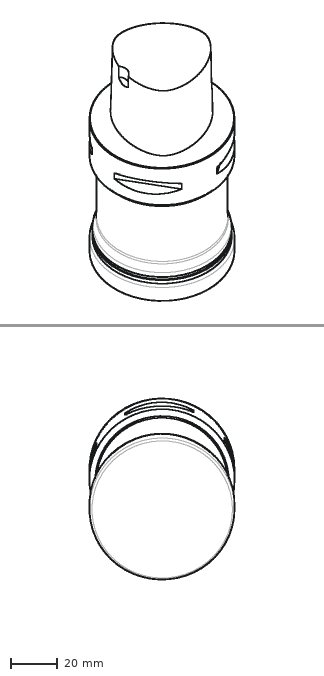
import cadquery as cq
import math

total_height = 118.0
flange_radius = 63.0 / 2
neck_radius = 57.0 / 2
collar_radius = 60.7 / 2

nut_top = 12.3
nut_rim_top = 9.9
collar_top = 13.9
flare_bottom = 16.3
flare_top = 21.6
flange_underside = 58.0
flange_top = 80.0

groove_depth = 0.2
groove_wall_height = 0.4
flare_start_radius = 28.7
flare_end_radius = 30.0
flare_start_drop = 1.3
undercut_slope_height = 2.5
undercut_radius = 29.0
undercut_blend_drop = 3.7
flange_chamfer = 0.4
nut_edge_radius = 1.1

shank_base_radius = 22.2
shank_top_radius = 21.4
lobe_height = 1.4
outline_points = 36

pocket_radius = 4.7
pocket_center_y = -22.5
pocket_depth = 6.4
drill_tip_angle = 118.0

slot_count = 4
slot_first_angle = 45.0
slot_floor_distance = 27.7
slot_floor_bottom = 66.4
slot_floor_height = 3.3
slot_wall_angle = 30.0


def lobed_outline(mean_radius):
    """Closed constant-width curve with one of its three lobes pointing to +Y."""
    points = []
    for i in range(outline_points):
        angle = 2 * math.pi * i / outline_points
        support = mean_radius + lobe_height * math.cos(3 * angle)
        slope = -3 * lobe_height * math.sin(3 * angle)
        x = slope * math.cos(angle) + support * math.sin(angle)
        y = support * math.cos(angle) - slope * math.sin(angle)
        points.append((x, y))
    return points


def make_shank():
    return (
        cq.Workplane("XY").workplane(offset=flange_top)
        .spline(lobed_outline(shank_base_radius), periodic=True).close()
        .workplane(offset=total_height - flange_top)
        .spline(lobed_outline(shank_top_radius), periodic=True).close()
        .loft(ruled=True)
    )


def make_pocket_cutter():
    """Drill shape with a conical tip, running down from the shank's end face."""
    tip_height = pocket_radius / math.tan(math.radians(drill_tip_angle / 2))
    shoulder_z = total_height - pocket_depth
    return (
        cq.Workplane("XZ")
        .moveTo(0, shoulder_z - tip_height)
        .lineTo(pocket_radius, shoulder_z)
        .lineTo(pocket_radius, total_height)
        .lineTo(0, total_height)
        .close()
        .revolve(360, (0, 0), (0, 1))
        .translate((0, pocket_center_y, 0))
    )


def make_slot_cutter():
    """Straight slot with sloping walls, cut into the flange from +X."""
    slot_depth = flange_radius - slot_floor_distance
    flare = slot_depth * math.tan(math.radians(slot_wall_angle))
    slot_floor_top = slot_floor_bottom + slot_floor_height
    return (
        cq.Workplane("XZ")
        .moveTo(slot_floor_distance, slot_floor_bottom)
        .lineTo(flange_radius, slot_floor_bottom - flare)
        .lineTo(flange_radius, slot_floor_top + flare)
        .lineTo(slot_floor_distance, slot_floor_top)
        .close()
        .extrude(flange_radius, both=True)
    )


def make_holder_body():
    """Turned part of the holder: collar, flare, neck and flange."""
    groove_radius = collar_radius - groove_depth
    blend_width = collar_radius - flare_end_radius
    blend_height = flare_bottom - collar_top
    flare_blend_radius = (blend_width**2 + blend_height**2) / (2 * blend_width)
    return (
        cq.Workplane("XZ")
        .moveTo(0, nut_top)
        .lineTo(groove_radius, nut_top)
        .lineTo(groove_radius, collar_top - groove_wall_height)
        .lineTo(collar_radius, collar_top)
        .radiusArc((flare_end_radius, flare_bottom), -flare_blend_radius)
        .lineTo(flare_start_radius, flare_top - flare_start_drop)
        .lineTo(neck_radius, flare_top)
        .lineTo(neck_radius, flange_underside - undercut_blend_drop)
        .lineTo(undercut_radius, flange_underside - undercut_slope_height)
        .lineTo(flange_radius, flange_underside)
        .lineTo(flange_radius, flange_top - flange_chamfer)
        .lineTo(flange_radius - flange_chamfer, flange_top)
        .lineTo(0, flange_top)
        .close()
        .revolve(360, (0, 0), (0, 1))
    )


def make_holder():
    holder = make_holder_body().union(make_shank()).cut(make_pocket_cutter())
    slot = make_slot_cutter()
    for i in range(slot_count):
        angle = slot_first_angle + i * 360 / slot_count
        holder = holder.cut(slot.rotate((0, 0, 0), (0, 0, 1), angle))
    return holder


def make_nut():
    """Clamping nut: a wide rim with a narrower shoulder that meets the holder."""
    return (
        cq.Workplane("XZ")
        .lineTo(flange_radius, 0)
        .lineTo(flange_radius, nut_rim_top - nut_edge_radius)
        .tangentArcPoint((flange_radius - nut_edge_radius, nut_rim_top), relative=False)
        .lineTo(collar_radius, nut_rim_top)
        .lineTo(collar_radius, nut_top - groove_wall_height)
        .lineTo(collar_radius - groove_depth, nut_top)
        .lineTo(0, nut_top)
        .close()
        .revolve(360, (0, 0), (0, 1))
        .faces("<Z").edges().fillet(nut_edge_radius)
    )


holder = make_holder()
nut = make_nut()
result = cq.Compound.makeCompound([holder.val(), nut.val()])